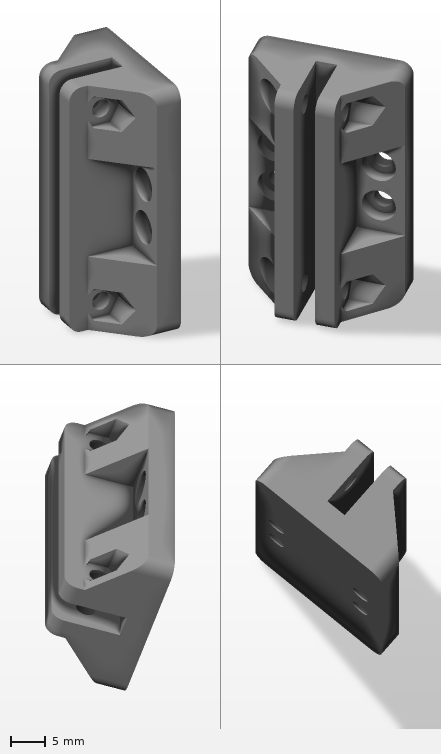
import cadquery as cq
import math

width = 24.0
depth = 14.5
height = 40.0
corner_radius = 2.0

base_thickness = 4.0
jaw_span = 9.2
slot_width = 3.3
flank_run = (width - jaw_span) / 2

recess_height = 16.0

hole_diameter = 2.9
head_diameter = 5.2
mount_x = 8.0
mount_z = 3.5
mount_head_depth = 2.0
clamp_y = -9.25
clamp_z = 15.75
nut_across_flats = 5.2
nut_across_corners = nut_across_flats / math.cos(math.pi / 6)


def make_body():
    """Tapered section extruded along Z, with rounded base and jaw corners."""
    half_width = width / 2
    half_jaw = jaw_span / 2
    flank_end = -(base_thickness + flank_run)
    body = (
        cq.Workplane("XY")
        .polyline([
            (-half_width, 0),
            (half_width, 0),
            (half_width, -base_thickness),
            (half_jaw, flank_end),
            (half_jaw, -depth),
            (-half_jaw, -depth),
            (-half_jaw, flank_end),
            (-half_width, -base_thickness),
        ])
        .close()
        .extrude(height / 2, both=True)
    )
    base_outline = (
        cq.Workplane("XZ").rect(width, height).extrude(depth)
        .edges("|Y").fillet(corner_radius)
    )
    jaw_outline = (
        cq.Workplane("XY").box(width, depth, height, centered=(True, False, True))
        .translate((0, -depth, 0))
        .edges("|X and <Y").fillet(corner_radius)
    )
    return body.intersect(base_outline).intersect(jaw_outline)


def cut_slot(body):
    """Slot between the two jaws, down to the base."""
    slot = (
        cq.Workplane("XY")
        .box(slot_width, depth - base_thickness, height, centered=(True, False, True))
        .translate((0, -depth, 0))
    )
    return body.cut(slot)


def cut_recess(body, side):
    """Central recess in one flank, flat on the base and flush with the jaw."""
    recess = (
        cq.Workplane("XY").box(flank_run, flank_run, recess_height)
        .translate((side * (jaw_span + flank_run) / 2, -base_thickness - flank_run / 2, 0))
    )
    return body.cut(recess)


def cut_mount_hole(body, x, z):
    """Counterbored screw hole through the base along Y."""
    start = cq.Vector(x, -base_thickness, z)
    along = cq.Vector(0, 1, 0)
    hole = cq.Solid.makeCylinder(hole_diameter / 2, base_thickness, start, along)
    head = cq.Solid.makeCylinder(head_diameter / 2, mount_head_depth, start, along)
    return body.cut(hole).cut(head)


def cut_clamp_hole(body, z):
    """Clamp screw hole along X, with a head seat at -X and a hex nut seat at +X."""
    axis = cq.Workplane("YZ").center(clamp_y, z)
    hole = axis.circle(hole_diameter / 2).extrude(width / 2, both=True)
    head = axis.workplane(offset=-jaw_span / 2).circle(head_diameter / 2).extrude(-flank_run)
    nut = axis.workplane(offset=jaw_span / 2).polygon(6, nut_across_corners).extrude(flank_run)
    return body.cut(hole).cut(head).cut(nut)


result = cut_slot(make_body())
for side in (-1, 1):
    result = cut_recess(result, side)
    for row in (-1, 1):
        result = cut_mount_hole(result, side * mount_x, row * mount_z)
for row in (-1, 1):
    result = cut_clamp_hole(result, row * clamp_z)